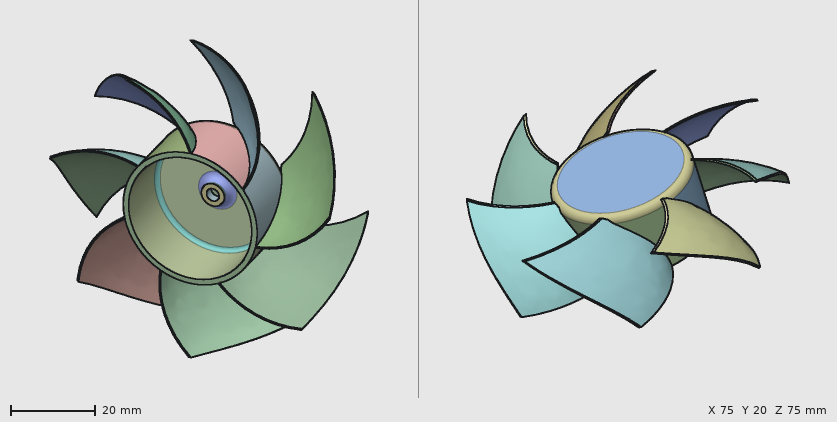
import cadquery as cq
import math

hub_radius = 17.55
hub_front = 0.15
hub_back = 18.9
hub_back_fillet = 1.95
bore_radius = 16.1
floor_level = 15.8
floor_fillet = 1.05

boss_radius = 3.0
boss_fillet = 2.0
boss_height = 2.7
shaft_hole_radius = 1.65

blade_count = 7
tip_radius = 37.5
tip_depth = 19.95
blade_thickness = 0.4
first_blade_angle = -90.0
root_lag = 26.0
root_wrap = 41.8
tip_wrap = 38.9
front_bow = 1.3
wrap_bow = 0.9
root_camber = 0.93
tip_camber = 0.46

root_overlap = 0.75
tip_margin = 0.75
edge_margin = 0.06
span_steps = 8
chord_steps = 10


def revolve_about_axis(profile):
    return profile.close().revolve(360, (0, 0, 0), (0, 1, 0))


def make_hub():
    """Cup with rounded corners and a bored, filleted boss on its floor."""
    cup = cq.Workplane("XZ", origin=(0, hub_front, 0)).circle(hub_radius).extrude(hub_front - hub_back)
    cup = cup.faces(">Y").edges().fillet(hub_back_fillet)
    bore = cq.Workplane("XZ").circle(bore_radius).extrude(-floor_level)
    bore = bore.faces(">Y").edges().fillet(floor_fillet)

    boss_front = floor_level - boss_height
    boss_profile = (
        cq.Workplane("XY")
        .moveTo(shaft_hole_radius, boss_front)
        .lineTo(boss_radius, boss_front)
        .lineTo(boss_radius, floor_level - boss_fillet)
        .radiusArc((boss_radius + boss_fillet, floor_level), boss_fillet)
        .lineTo(shaft_hole_radius, floor_level)
    )
    return cup.cut(bore).union(revolve_about_axis(boss_profile))


def blade_point(radius, chord):
    """Point of the blade mid-surface; chord runs from 0 (front) to 1 (back)."""
    span = (radius - hub_radius) / (tip_radius - hub_radius)
    bow = 4 * span * (1 - span)
    lag = root_lag * (1 - span) + front_bow * bow
    wrap = root_wrap + (tip_wrap - root_wrap) * span + wrap_bow * bow
    camber = root_camber + (tip_camber - root_camber) * span
    front = hub_front * (1 - span)
    back = hub_back + (tip_depth - hub_back) * span
    turn = (1 - camber) * chord + camber * chord**2
    angle = math.radians(first_blade_angle - lag + wrap * turn)
    return cq.Vector(radius * math.cos(angle), front + (back - front) * chord, radius * math.sin(angle))


def make_blade():
    inner = hub_radius - root_overlap
    outer = tip_radius + tip_margin
    radii = [inner + (outer - inner) * i / span_steps for i in range(span_steps + 1)]
    chord_range = 1 + 2 * edge_margin
    chords = [-edge_margin + chord_range * j / chord_steps for j in range(chord_steps + 1)]
    surface = cq.Face.makeSplineApprox([[blade_point(r, c) for c in chords] for r in radii])
    half = blade_thickness / 2
    return cq.Workplane(surface.thicken(half)).union(cq.Workplane(surface.thicken(-half)))


def make_envelope():
    """Ring swept by the blades: slightly conical in front and behind."""
    inner = hub_radius - root_overlap
    profile = (
        cq.Workplane("XY")
        .moveTo(inner, hub_front)
        .lineTo(hub_radius, hub_front)
        .lineTo(tip_radius, 0)
        .lineTo(tip_radius, tip_depth)
        .lineTo(hub_radius, hub_back)
        .lineTo(inner, hub_back - hub_back_fillet)
    )
    return revolve_about_axis(profile)


blade = make_blade().intersect(make_envelope())
result = make_hub()
for index in range(blade_count):
    result = result.union(blade.rotate((0, 0, 0), (0, 1, 0), index * 360 / blade_count))